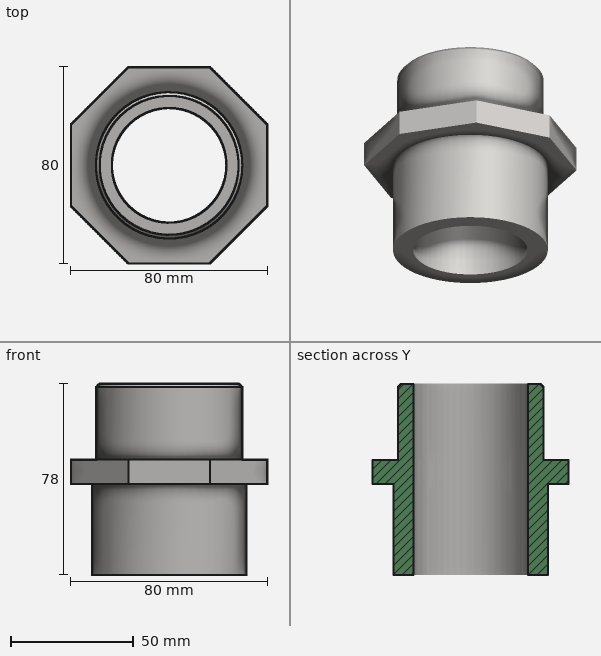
import cadquery as cq
import math

flange_across_flats = 80.0
flange_sides = 8
flange_thickness = 10.0
socket_diameter = 63.0
socket_length = 37.0
spigot_diameter = 59.6
spigot_rim_chamfer = 1.5
bore_diameter = 46.6
total_height = 78.0

flange_across_corners = flange_across_flats / math.cos(math.pi / flange_sides)
half_side_angle = 180.0 / flange_sides
flange_top = socket_length + flange_thickness
spigot_length = total_height - flange_top

socket = cq.Workplane("XY").circle(socket_diameter / 2).extrude(socket_length)

flange = (
    cq.Workplane("XY")
    .workplane(offset=socket_length)
    .polygon(flange_sides, flange_across_corners)
    .extrude(flange_thickness)
    .rotate((0, 0, 0), (0, 0, 1), half_side_angle)
)

spigot = (
    cq.Workplane("XY")
    .workplane(offset=flange_top)
    .circle(spigot_diameter / 2)
    .extrude(spigot_length)
    .faces(">Z")
    .edges()
    .chamfer(spigot_rim_chamfer)
)

bore = cq.Workplane("XY").circle(bore_diameter / 2).extrude(total_height)

result = socket.union(flange).union(spigot).cut(bore)